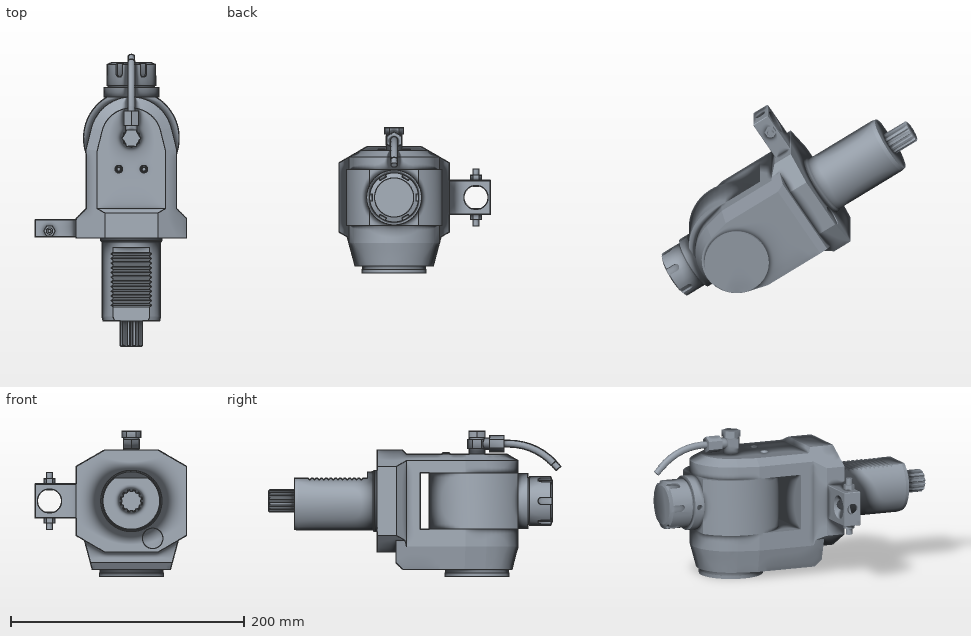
import cadquery as cq
import math


head_half_width = 38.9
top_z = 40.0
bevel_angle = 30
bevel_slope = math.tan(math.radians(bevel_angle))
head_bevel_width = 9.5
head_bevel_height = head_bevel_width * bevel_slope
plate_gap_half = 24.0
skirt_top_z = -39.0
head_bottom_z = -59.0
skirt_taper = 15
skirt_slope = math.tan(math.radians(skirt_taper))
plate_front_radius = 35.3
plate_side_angle = 14
drum_radius = 41.0
drum_y = 85.7
head_front = drum_y + plate_front_radius
web_back = 37.0

flange_half_width = 47.5
flange_half_height = 43.9
flange_back = 25.3
flange_flat_half_width = head_half_width - head_bevel_width - (flange_half_height - top_z) / bevel_slope
flange_corner_z = flange_half_height - (flange_half_width - flange_flat_half_width) * bevel_slope
head_overlap = 1.0

skirt_block_front = 16.0
skirt_block_top_z = -33.5
skirt_block_chamfer = 6.0

cover_radius = 27.5
cover_neck_radius = 27.0
cover_step_z = -62.0
cover_bottom_z = -65.0

plug_x = 18.3
plug_z = -32.0
plug_radius = 8.8
plug_recess = 0.8

shank_radius = 25.0
shank_length = 71.0
shank_end_chamfer = 3.3
shank_end_radius = 24.3
collar_radius = 26.3
collar_length = 2.3
collar_cone_length = 1.3
rack_flat_z = 19.5
rack_start = 8.3
groove_count = 12
groove_pitch = 4.0
first_groove = 13.5
groove_width = 2.8
groove_depth = 1.5

spline_end = 93.0
spline_teeth = 12
spline_tip_radius = 9.8
spline_root_radius = 8.0
spline_chamfer = 1.0
spline_tip_share = 0.4
spline_root_share = 0.65

nose_ring_radius = 23.5
nose_ring_end = 129.3
nose_neck_radius = 20.0
nose_neck_end = 130.8
nut_radius = 21.0
nut_end = 149.0
nut_lip_radius = 16.8
nut_lip_end = 150.7
nut_slot_count = 6
nut_slot_width = 6.3
nut_slot_depth = 2.5
nut_slot_bottom = 138.0
ring_hole_y = 125.3
ring_hole_radius = 2.5
ring_hole_depth = 3.8

fitting_y = drum_y
fitting_body_radius = 6.8
fitting_hex_corners = 16.0
fitting_hex_bottom = 44.9
fitting_hex_top = 53.0
fitting_cap_corners = 16.3
fitting_cap_bottom = 54.5
fitting_cap_top = 60.0
fitting_axis_z = 49.1
stub_radius = 5.0
hose_nut_start = 96.5
hose_nut_end = 109.0
hose_nut_corners = 14.3
hose_radius = 3.0
hose_bend_start = 113.0
hose_bend_radius = 52.5
hose_bend_angle = 47
hose_tip_radius = 2.8
hose_reach = 157.7

screw_x = 10.8
screw_y = 59.2
screw_head_radius = 3.3
screw_head_height = 1.5
screw_socket_corners = 3.5
screw_socket_depth = 1.0

arm_end_x = -82.7
arm_half_height = 14.8
arm_front = 0.8
arm_back = 15.8
arm_chamfer = 0.5
arm_bore_x = -70.2
arm_bore_radius = 10.3
side_hole_y = 8.3
side_hole_radius = 4.8
side_hole_end_x = -51.5
pilot_hole_radius = 2.0
pilot_hole_end_x = -49.0
arm_screw_y = 6.0
arm_screw_radius = 2.8
arm_screw_end = 24.5
arm_screw_inner_end = 9.3
arm_screw_socket_corners = 3.0
arm_screw_socket_depth = 1.5
arm_screw_nut_corners = 9.8
arm_screw_nut_height = 4.3


def cylinder_y(radius, start, end, x=0, z=0):
    """Cylinder along +Y from start to end."""
    plane = cq.Workplane("XZ", origin=(x, start, z))
    return plane.circle(radius).extrude(start - end)


def cylinder_z(radius, bottom, top, x=0, y=0):
    """Cylinder along +Z from bottom to top."""
    return cq.Workplane("XY", origin=(x, y, bottom)).circle(radius).extrude(top - bottom)


def hexagon_z(corners, bottom, top, x=0, y=0, turn=0):
    """Hexagonal prism along +Z; with no turn two corners lie along X."""
    plane = cq.Workplane("XY", origin=(x, y, bottom))
    prism = plane.polygon(6, corners).extrude(top - bottom)
    return prism.rotate((x, y, 0), (x, y, 1), turn)


def plate_outline(rear, z):
    """Plan outline of the head plates: round front, slanted flanks and straight sides."""
    angle = math.radians(plate_side_angle)
    arc_x = plate_front_radius * math.cos(angle)
    arc_y = drum_y + plate_front_radius * math.sin(angle)
    flank_y = arc_y - (head_half_width - arc_x) / math.tan(angle)
    return (
        cq.Workplane("XY", origin=(0, 0, z))
        .moveTo(-head_half_width, rear)
        .lineTo(head_half_width, rear)
        .lineTo(head_half_width, flank_y)
        .lineTo(arc_x, arc_y)
        .threePointArc((0, head_front), (-arc_x, arc_y))
        .lineTo(-head_half_width, flank_y)
        .close()
    )


def make_flange():
    """Octagonal flange and skirt block, sloped at 45 degrees towards the head."""
    quarter = [(flange_flat_half_width, flange_half_height), (flange_half_width, flange_corner_z)]
    right_side = quarter + [(x, -z) for x, z in reversed(quarter)]
    octagon = right_side + [(-x, z) for x, z in reversed(right_side)]
    flange = cq.Workplane("XZ").polyline(octagon).close().extrude(-flange_back)

    block_top = head_half_width + (skirt_block_top_z - skirt_top_z) * skirt_slope
    block_bottom = head_half_width - (skirt_top_z - head_bottom_z) * skirt_slope
    block = (
        cq.Workplane("XZ", origin=(0, skirt_block_front, 0))
        .moveTo(-block_top, skirt_block_top_z)
        .lineTo(block_top, skirt_block_top_z)
        .lineTo(block_bottom, head_bottom_z)
        .lineTo(-block_bottom, head_bottom_z)
        .close()
        .extrude(skirt_block_front - flange_back)
        .faces("<Y").edges("<Z").chamfer(skirt_block_chamfer)
    )

    side_step = flange_half_width - head_half_width
    plan = (
        cq.Workplane("XY", origin=(0, 0, head_bottom_z))
        .moveTo(-flange_half_width, 0)
        .lineTo(flange_half_width, 0)
        .lineTo(flange_half_width, flange_back - side_step)
        .lineTo(head_half_width, flange_back)
        .lineTo(-head_half_width, flange_back)
        .lineTo(-flange_half_width, flange_back - side_step)
        .close()
        .extrude(flange_half_height - head_bottom_z)
    )
    top_step = flange_half_height - top_z
    profile = (
        cq.Workplane("YZ", origin=(-flange_half_width, 0, 0))
        .moveTo(0, head_bottom_z)
        .lineTo(0, flange_half_height)
        .lineTo(flange_back - top_step, flange_half_height)
        .lineTo(flange_back, top_z)
        .lineTo(flange_back, head_bottom_z)
        .close()
        .extrude(2 * flange_half_width)
    )
    plug = cylinder_y(plug_radius, 0, plug_recess, plug_x, plug_z)
    return flange.union(block).intersect(plan).intersect(profile).cut(plug)


def make_head():
    """Plates with bevelled top and tapered skirt, the web behind them, drum and cover."""
    bevel_rear = flange_back - head_bevel_width - head_overlap
    skirt_rear = flange_back - (skirt_top_z - head_bottom_z) * skirt_slope - head_overlap
    bevel_base = top_z - head_bevel_height
    bevel = plate_outline(bevel_rear, bevel_base).extrude(head_bevel_height, taper=90 - bevel_angle)
    core = plate_outline(skirt_rear, skirt_top_z).extrude(bevel_base - skirt_top_z)
    skirt = plate_outline(skirt_rear, skirt_top_z).extrude(head_bottom_z - skirt_top_z, taper=skirt_taper)

    gap_length = head_front - web_back
    gap = cq.Workplane("XY").box(4 * head_half_width, 2 * gap_length, 2 * plate_gap_half)
    gap = gap.translate((0, web_back + gap_length, 0))
    drum = cylinder_z(drum_radius, -plate_gap_half, plate_gap_half, 0, drum_y)
    drum_front_cut = cq.Workplane("XY").box(4 * drum_radius, 2 * drum_radius, 4 * plate_gap_half)
    drum = drum.cut(drum_front_cut.translate((0, head_front + drum_radius, 0)))

    cover = cylinder_z(cover_neck_radius, cover_step_z, head_bottom_z, 0, drum_y)
    cover = cover.union(cylinder_z(cover_radius, cover_bottom_z, cover_step_z, 0, drum_y))
    return core.cut(gap).union(bevel).union(skirt).union(drum).union(cover)


def make_shank():
    """Round shank with a flat carrying a rack of V grooves."""
    shank = (
        cq.Workplane("XY")
        .moveTo(0, 0)
        .lineTo(collar_radius, 0)
        .lineTo(collar_radius, -collar_length)
        .lineTo(shank_radius, -collar_length - collar_cone_length)
        .lineTo(shank_radius, shank_end_chamfer - shank_length)
        .lineTo(shank_end_radius, -shank_length)
        .lineTo(0, -shank_length)
        .close()
        .revolve(360, (0, 0, 0), (0, 1, 0))
    )
    rack_side = (
        cq.Workplane("YZ", origin=(-shank_radius, 0, 0))
        .moveTo(-shank_length, shank_radius)
        .lineTo(-rack_start, shank_radius)
        .lineTo(-rack_start, rack_flat_z)
    )
    for index in range(groove_count):
        centre = -first_groove - index * groove_pitch
        rack_side = (
            rack_side.lineTo(centre + groove_width / 2, rack_flat_z)
            .lineTo(centre, rack_flat_z - groove_depth)
            .lineTo(centre - groove_width / 2, rack_flat_z)
        )
    rack = rack_side.lineTo(-shank_length, rack_flat_z).close().extrude(2 * shank_radius)
    return shank.cut(rack)


def make_spline():
    """Toothed drive end with a chamfered tip."""
    pitch = 2 * math.pi / spline_teeth
    points = []
    for tooth in range(spline_teeth):
        middle = (tooth + 0.5) * pitch
        for radius, offset in (
            (spline_root_radius, -spline_root_share / 2),
            (spline_tip_radius, -spline_tip_share / 2),
            (spline_tip_radius, spline_tip_share / 2),
            (spline_root_radius, spline_root_share / 2),
        ):
            angle = middle + offset * pitch
            points.append((radius * math.cos(angle), radius * math.sin(angle)))
    length = spline_end - shank_length
    plane = cq.Workplane("XZ", origin=(0, -shank_length, 0))
    envelope = cylinder_y(spline_tip_radius, -spline_end, -shank_length)
    envelope = envelope.faces("<Y").chamfer(spline_chamfer)
    return plane.polyline(points).close().extrude(length).intersect(envelope)


def make_nose():
    """Collet nose: ring, neck and slotted clamping nut."""
    nose = (
        cq.Workplane("XY")
        .moveTo(0, head_front)
        .lineTo(nose_ring_radius, head_front)
        .lineTo(nose_ring_radius, nose_ring_end)
        .lineTo(nose_neck_radius, nose_ring_end)
        .lineTo(nose_neck_radius, nose_neck_end)
        .lineTo(nut_radius, nose_neck_end)
        .lineTo(nut_radius, nut_end)
        .lineTo(nut_lip_radius, nut_lip_end)
        .lineTo(0, nut_lip_end)
        .close()
        .revolve(360, (0, 0, 0), (0, 1, 0))
    )
    slot_length = 2 * (nut_lip_end - nut_slot_bottom)
    slot = (
        cq.Workplane("YZ", origin=(nut_radius - nut_slot_depth, nut_lip_end, 0))
        .slot2D(slot_length, nut_slot_width)
        .extrude(2 * nut_slot_depth)
    )
    for index in range(nut_slot_count):
        nose = nose.cut(slot.rotate((0, 0, 0), (0, 1, 0), index * 360 / nut_slot_count))
    hole = (
        cq.Workplane("YZ", origin=(-nose_ring_radius, ring_hole_y, 0))
        .circle(ring_hole_radius)
        .extrude(ring_hole_depth)
    )
    return nose.cut(hole)


def make_fitting():
    """Coolant fitting on top of the head with its bent hose."""
    fitting = cylinder_z(fitting_body_radius, top_z, fitting_cap_bottom, 0, fitting_y)
    hexagon = hexagon_z(fitting_hex_corners, fitting_hex_bottom, fitting_hex_top, 0, fitting_y, 30)
    cap = hexagon_z(fitting_cap_corners, fitting_cap_bottom, fitting_cap_top, 0, fitting_y)
    stub = cylinder_y(stub_radius, fitting_y, hose_nut_start, 0, fitting_axis_z)
    hose_nut = (
        cq.Workplane("XZ", origin=(0, hose_nut_start, fitting_axis_z))
        .transformed(rotate=(0, 0, 30))
        .polygon(6, hose_nut_corners)
        .extrude(hose_nut_start - hose_nut_end)
    )

    bend = math.radians(hose_bend_angle)

    def bend_point(angle):
        drop = hose_bend_radius * (1 - math.cos(angle))
        return hose_bend_start + hose_bend_radius * math.sin(angle), fitting_axis_z - drop

    path = (
        cq.Workplane("YZ")
        .moveTo(hose_nut_end, fitting_axis_z)
        .lineTo(hose_bend_start, fitting_axis_z)
        .threePointArc(bend_point(bend / 2), bend_point(bend))
    )
    hose_end = cq.Workplane("XZ", origin=(0, hose_nut_end, fitting_axis_z))
    hose = hose_end.circle(hose_radius).sweep(path)
    tip_y, tip_z = bend_point(bend)
    tip_plane = cq.Plane(
        origin=(0, tip_y, tip_z),
        xDir=(1, 0, 0),
        normal=(0, math.cos(bend), -math.sin(bend)),
    )
    tip_length = (hose_reach - tip_y - hose_tip_radius * math.sin(bend)) / math.cos(bend)
    tip = cq.Workplane(tip_plane).circle(hose_tip_radius).extrude(tip_length)
    return fitting.union(hexagon).union(cap).union(stub).union(hose_nut).union(hose).union(tip)


def make_screw_heads():
    """Two chamfered hexagon-socket screw heads on top of the head."""
    heads = cq.Workplane("XY")
    head_top = top_z + screw_head_height
    for x in (-screw_x, screw_x):
        head = cylinder_z(screw_head_radius, top_z, head_top, x, screw_y)
        head = head.faces(">Z").chamfer(screw_head_height / 2)
        socket = hexagon_z(screw_socket_corners, head_top - screw_socket_depth, head_top, x, screw_y)
        heads = heads.union(head.cut(socket))
    return heads


def make_arm():
    """Clamp arm on the flange side with its bore, stepped side hole and two clamping screws."""
    length = -flange_half_width - arm_end_x
    arm = (
        cq.Workplane("XY")
        .box(length, arm_back - arm_front, 2 * arm_half_height)
        .faces("<X").edges().chamfer(arm_chamfer)
        .edges("|X").chamfer(arm_chamfer)
        .translate((arm_end_x + length / 2, (arm_front + arm_back) / 2, 0))
    )
    arm = arm.cut(cylinder_y(arm_bore_radius, arm_front, arm_back, arm_bore_x))
    side_plane = cq.Workplane("YZ", origin=(arm_end_x, side_hole_y, 0))
    arm = arm.cut(side_plane.circle(side_hole_radius).extrude(side_hole_end_x - arm_end_x))
    arm = arm.cut(side_plane.circle(pilot_hole_radius).extrude(pilot_hole_end_x - arm_end_x))

    screw = cylinder_z(arm_screw_radius, arm_screw_inner_end, arm_screw_end, arm_bore_x, arm_screw_y)
    nut_top = arm_half_height + arm_screw_nut_height
    nut = hexagon_z(arm_screw_nut_corners, arm_half_height, nut_top, arm_bore_x, arm_screw_y)
    socket_bottom = arm_screw_end - arm_screw_socket_depth
    socket = hexagon_z(arm_screw_socket_corners, socket_bottom, arm_screw_end, arm_bore_x, arm_screw_y)
    screw = screw.union(nut).cut(socket)
    return arm.union(screw).union(screw.mirror("XY"))


result = (
    make_flange()
    .union(make_head())
    .union(make_shank())
    .union(make_spline())
    .union(make_nose())
    .union(make_fitting())
    .union(make_screw_heads())
    .union(make_arm())
)